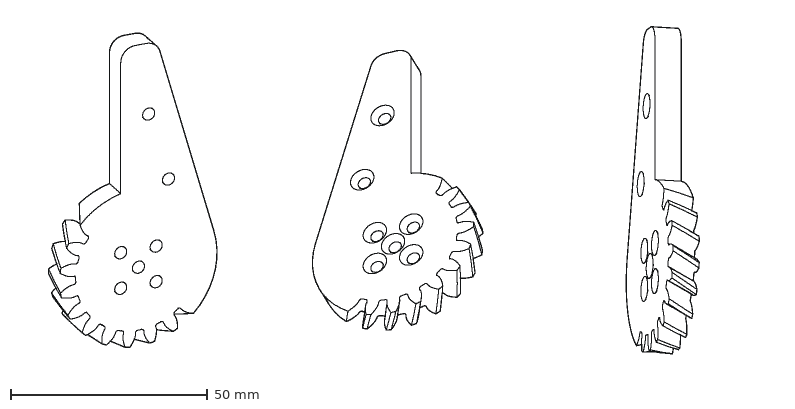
import cadquery as cq
import math

thickness = 7.0
tip_radius = 22.0
overall_height = 84.0
arm_top = overall_height - tip_radius
arm_straight_y = -4.95
arm_corner_y = 5.2
arm_corner_radius = 4.0

tooth_count = 20
gap_count = 10
pitch_radius = 20.0
root_radius = 17.55
root_fillet = 0.6
pressure_angle = math.radians(20)
helix_angle = math.radians(27.5)
first_gap_angle = 134.7
flank_points = 6
cutter_overrun = 0.8

bore_diameter = 3.4
countersink_diameter = 6.4
countersink_angle = 90
square_hole_offset = 4.95
square_holes = [(y, z) for y in (-square_hole_offset, square_hole_offset)
                for z in (-square_hole_offset, square_hole_offset)]
arm_holes = [(2.85, 42.2), (8.4, 23.0)]
hole_centres = [(0, 0)] + square_holes + arm_holes

base_radius = pitch_radius * math.cos(pressure_angle)
tooth_pitch_angle = 360 / tooth_count
twist_angle = math.degrees(thickness * math.tan(helix_angle) / pitch_radius)


def polar(radius, angle):
    """Point in the YZ plane, with the angle in radians from +Y towards +Z."""
    return (radius * math.cos(angle), radius * math.sin(angle))


def plate():
    """Disc with an arm that has one straight edge and one edge tangent to the disc."""
    corner_distance = math.hypot(arm_corner_y, arm_top)
    corner_angle = math.atan2(arm_top, arm_corner_y)
    tangent_angle = corner_angle - math.acos(tip_radius / corner_distance)
    shoulder_z = math.sqrt(tip_radius**2 - arm_straight_y**2)
    body = (
        cq.Workplane("YZ")
        .moveTo(arm_straight_y, shoulder_z)
        .lineTo(arm_straight_y, arm_top)
        .lineTo(arm_corner_y, arm_top)
        .lineTo(*polar(tip_radius, tangent_angle))
        .threePointArc((0, -tip_radius), (arm_straight_y, shoulder_z))
        .close()
        .extrude(thickness)
    )
    return body.faces(">Z").edges("|X").fillet(arm_corner_radius)


def involute(angle):
    return math.tan(angle) - angle


def gap_half_angle(radius):
    """Half the angle that a tooth gap spans at a radius on its involute flanks."""
    flank_angle = math.acos(base_radius / radius)
    return math.pi / (2 * tooth_count) - involute(pressure_angle) + involute(flank_angle)


def tooth_gap():
    """Twisted cutter for one tooth gap, centred on the +Y axis at X = 0."""
    flank_step = (tip_radius + cutter_overrun - base_radius) / (flank_points - 1)
    flank_radii = [base_radius + flank_step * i for i in range(flank_points)]
    upper_flank = [polar(r, gap_half_angle(r)) for r in flank_radii]
    lower_flank = [(y, -z) for y, z in reversed(upper_flank)]

    foot_angle = gap_half_angle(base_radius)
    fillet_centre_radius = root_radius + root_fillet
    fillet_angle = foot_angle - math.asin(root_fillet / fillet_centre_radius)
    foot_radius = math.sqrt(fillet_centre_radius**2 - root_fillet**2)

    return (
        cq.Workplane("YZ")
        .moveTo(*polar(foot_radius, foot_angle))
        .lineTo(*upper_flank[0])
        .spline(upper_flank[1:], includeCurrent=True)
        .lineTo(*lower_flank[0])
        .spline(lower_flank[1:], includeCurrent=True)
        .lineTo(*polar(foot_radius, -foot_angle))
        .tangentArcPoint(polar(root_radius, -fillet_angle), relative=False)
        .threePointArc((root_radius, 0), polar(root_radius, fillet_angle))
        .radiusArc(polar(foot_radius, foot_angle), root_fillet)
        .close()
        .twistExtrude(thickness, twist_angle)
    )


def countersunk_hole(y, z):
    """Cutter for a through hole countersunk on the X = 0 face."""
    countersink_slope = math.tan(math.radians(countersink_angle / 2))
    countersink_depth = (countersink_diameter - bore_diameter) / 2 / countersink_slope
    countersink = cq.Solid.makeCone(
        countersink_diameter / 2, bore_diameter / 2, countersink_depth,
        pnt=cq.Vector(0, y, z), dir=cq.Vector(1, 0, 0),
    )
    bore = cq.Workplane("YZ").center(y, z).circle(bore_diameter / 2).extrude(thickness)
    return bore.union(cq.Workplane(countersink))


result = plate()

gap = tooth_gap()
for index in range(gap_count):
    gap_angle = first_gap_angle + index * tooth_pitch_angle
    result = result.cut(gap.rotate((0, 0, 0), (1, 0, 0), gap_angle))

for y, z in hole_centres:
    result = result.cut(countersunk_hole(y, z))